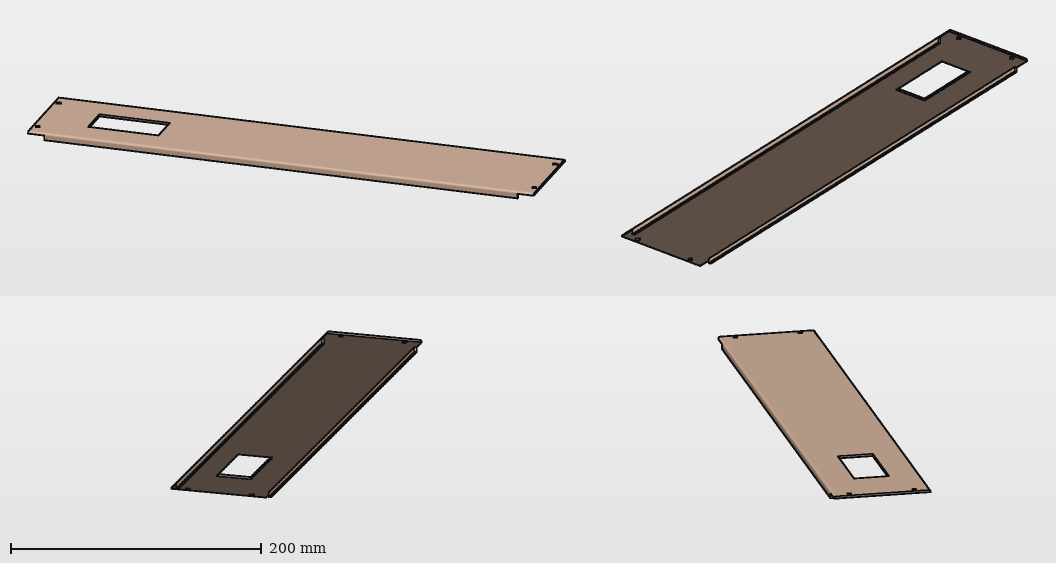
import cadquery as cq
import math

length = 425.0
width = 79.0
height = 6.0
sheet = 2.0

flange_inset = 13.5
flange_length = length - 2 * flange_inset
flange_height = height - sheet

window_length = 59.0
window_width = 28.5
window_x = -140.5
window_y = -0.5

hole_diameter = 3.2
slot_length = 4.2
slot_width = 3.2
hole_x = 208.5
hole_y = -26.8
slot_y = 26.5


def panel():
    """Flat sheet whose long edges are rounded over the full sheet thickness."""
    half_width = width / 2
    flat_half = half_width - sheet
    arc_offset = sheet * math.sqrt(0.5)
    underside = height - sheet
    outline = (
        cq.Workplane("YZ")
        .moveTo(-half_width, underside)
        .threePointArc((-flat_half - arc_offset, underside + arc_offset), (-flat_half, height))
        .lineTo(flat_half, height)
        .threePointArc((flat_half + arc_offset, underside + arc_offset), (half_width, underside))
        .close()
    )
    return outline.extrude(length / 2, both=True)


def flange(side):
    """Downturned flange flush with one long side; side is -1 or 1 along Y."""
    wall = cq.Workplane("XY").box(flange_length, sheet, flange_height, centered=(True, True, False))
    return wall.translate((0, side * (width - sheet) / 2, 0))


def window():
    """Cutter for the rectangular display opening."""
    return cq.Workplane("XY").center(window_x, window_y).rect(window_length, window_width).extrude(height)


def mounting_holes():
    """Cutter for the round hole and the slot at each end of the panel."""
    ends = [-hole_x, hole_x]
    round_holes = cq.Workplane("XY").pushPoints([(x, hole_y) for x in ends]).circle(hole_diameter / 2)
    slots = cq.Workplane("XY").pushPoints([(x, slot_y) for x in ends]).slot2D(slot_length, slot_width)
    return round_holes.extrude(height).union(slots.extrude(height))


result = panel()
for side in (-1, 1):
    result = result.union(flange(side))
result = result.cut(window()).cut(mounting_holes())